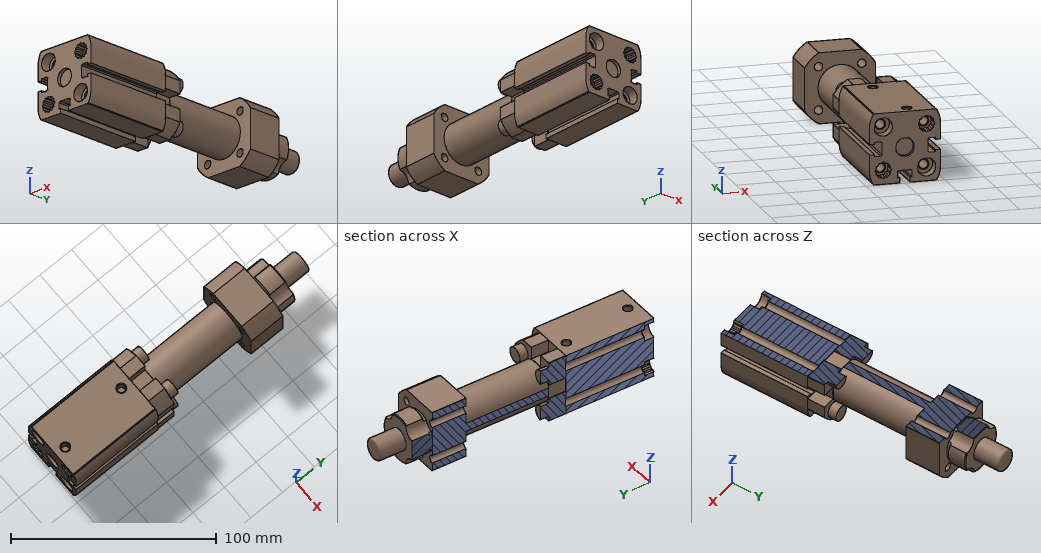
import cadquery as cq
import math

total_length = 158.0
width = 36.0
half_width = width / 2

body_end = 52.0
flange_end = 62.1
screw_head_end = 67.0
block_start = 110.9
block_end = 131.0
nut_end = 143.0

body_flat_half_width = 15.6
body_corner_start = 11.2
body_edge_chamfer_width = 0.5
body_edge_chamfer_height = 0.3
hole_pitch = 22.0
hole_offset = hole_pitch / 2
counterbore_diameter = 9.2
corner_recess_depth = 5.4
star_radius = 4.1
screw_hole_diameter = 4.6
screw_hole_chamfer = 0.4
center_recess_diameter = 9.3
center_recess_depth = 1.9

slot_mouth_width = 5.2
slot_inner_width = 7.3
slot_lip = 2.5
slot_depth = 6.3
slot_corner_chamfer = 0.6

port_places = [(-2.7, 46.0), (2.7, 6.0)]
port_diameter = 4.3
port_chamfer = 0.5
port_depth = 6.0

corner_circle_diameter = 42.0
notch_width = 8.0
notch_floor = 10.7
tube_diameter = 22.5
screw_head_diameter = 8.5
block_hole_diameter = 4.3

rod_diameter = 12.2
rod_tip_fillet = 1.1
nut_diameter = 26.4
nut_chamfer = 0.5
neck_diameter = 23.7
neck_length = 1.9
neck_fillet = 0.8
scallop_offset = 11.5
scallop_radius = 5.7

counterbore_points = [(-hole_offset, hole_offset), (hole_offset, -hole_offset)]
star_points = [(-hole_offset, -hole_offset), (hole_offset, hole_offset)]
corner_points = counterbore_points + star_points


def plane_at(y):
    """Sketch plane across the axis: local x is X, local y is Z, and extrusions run toward +Y."""
    return cq.Workplane(cq.Plane(origin=(0, y, 0), xDir=(1, 0, 0), normal=(0, -1, 0)))


def extrude_along_y(sketch, length):
    """Extrude a sketch from plane_at by a length toward +Y."""
    return sketch.extrude(-length)


def rod_section(diameter, start, end):
    """Round bar on the axis between two Y stations."""
    return extrude_along_y(plane_at(start).circle(diameter / 2), end - start)


def turn(shape, angle):
    """Turn a shape about the Y axis."""
    return shape.rotate((0, 0, 0), (0, 1, 0), angle)


def body_profile():
    """Square bar with flat sides that curve in tangentially toward the top and bottom corners."""
    edge_x = body_flat_half_width + body_edge_chamfer_width
    edge_z = half_width - body_edge_chamfer_height
    rise = edge_z - body_corner_start
    inset = half_width - edge_x
    radius = (inset**2 + rise**2) / (2 * inset)
    half_angle = math.asin(rise / radius) / 2
    mid_x = half_width - radius * (1 - math.cos(half_angle))
    mid_z = body_corner_start + radius * math.sin(half_angle)
    return (
        plane_at(0)
        .moveTo(half_width, -body_corner_start)
        .lineTo(half_width, body_corner_start)
        .threePointArc((mid_x, mid_z), (edge_x, edge_z))
        .lineTo(body_flat_half_width, half_width)
        .lineTo(-body_flat_half_width, half_width)
        .lineTo(-edge_x, edge_z)
        .threePointArc((-mid_x, mid_z), (-half_width, body_corner_start))
        .lineTo(-half_width, -body_corner_start)
        .threePointArc((-mid_x, -mid_z), (-edge_x, -edge_z))
        .lineTo(-body_flat_half_width, -half_width)
        .lineTo(body_flat_half_width, -half_width)
        .lineTo(edge_x, -edge_z)
        .threePointArc((mid_x, -mid_z), (half_width, -body_corner_start))
        .close()
    )


def bottom_slot():
    """T-slot cutter open to the bottom face and running the length of the body."""
    mouth = slot_mouth_width / 2
    inner = slot_inner_width / 2
    lip_z = slot_lip - half_width
    floor_z = slot_depth - half_width
    outline = [
        (mouth, -half_width),
        (mouth, lip_z),
        (inner, lip_z),
        (inner, floor_z - slot_corner_chamfer),
        (inner - slot_corner_chamfer, floor_z),
    ]
    mirrored = [(-x, z) for x, z in reversed(outline)]
    return extrude_along_y(plane_at(0).polyline(outline + mirrored).close(), body_end)


def star_recesses():
    """Twelve-point recesses, each made of two hexagons turned 30 degrees to each other."""
    cutter = cq.Workplane()
    for x, z in star_points:
        for start_angle in (0, 30):
            hexagon = plane_at(0).center(x, z).transformed(rotate=(0, 0, start_angle))
            cutter = cutter.add(extrude_along_y(hexagon.polygon(6, 2 * star_radius), corner_recess_depth))
    return cutter.combine()


def countersunk_hole(sketch_plane, diameter, depth, chamfer):
    """Hole cutter that goes in against the plane normal and widens at its mouth."""
    hole = sketch_plane.circle(diameter / 2).extrude(-depth)
    mouth = sketch_plane.circle(diameter / 2 + chamfer).workplane(offset=-chamfer)
    return hole.union(mouth.circle(diameter / 2).loft(combine=True))


def make_cylinder_body():
    body = extrude_along_y(body_profile(), body_end)
    for angle in (0, 90, -90):
        body = body.cut(turn(bottom_slot(), angle))

    recesses = plane_at(0).pushPoints(counterbore_points).circle(counterbore_diameter / 2)
    body = body.cut(extrude_along_y(recesses, corner_recess_depth))
    body = body.cut(star_recesses())
    for x, z in corner_points:
        body = body.cut(
            countersunk_hole(
                plane_at(corner_recess_depth).center(x, z),
                screw_hole_diameter,
                body_end - corner_recess_depth,
                screw_hole_chamfer,
            )
        )

    body = body.cut(rod_section(center_recess_diameter, 0, center_recess_depth))
    for x, y in port_places:
        top_plane = cq.Workplane("XY", origin=(x, y, half_width))
        body = body.cut(countersunk_hole(top_plane, port_diameter, port_depth, port_chamfer))
    return body


def rounded_square(start, end):
    """Square plate whose corners lie on one circle about the axis."""
    square = extrude_along_y(plane_at(start).rect(width, width), end - start)
    return square.intersect(rod_section(corner_circle_diameter, start, end))


def make_guide():
    flange = rounded_square(body_end, flange_end)
    notch_depth = half_width - notch_floor
    notch = extrude_along_y(
        plane_at(body_end).center(0, notch_floor + notch_depth / 2).rect(notch_width, notch_depth),
        flange_end - body_end,
    )
    for angle in (0, 90, 180, 270):
        flange = flange.cut(turn(notch, angle))

    heads = plane_at(flange_end).pushPoints(corner_points).circle(screw_head_diameter / 2)
    heads = extrude_along_y(heads, screw_head_end - flange_end)

    block = rounded_square(block_start, block_end)
    holes = plane_at(block_start).pushPoints(corner_points).circle(block_hole_diameter / 2)
    block = block.cut(extrude_along_y(holes, block_end - block_start))

    tube = rod_section(tube_diameter, flange_end, block_start)
    return flange.union(tube).union(heads).union(block)


def make_rod():
    neck_end = block_end + neck_length
    head = rod_section(nut_diameter, neck_end, nut_end).faces(">Y").chamfer(nut_chamfer)
    neck = rod_section(neck_diameter, block_end, neck_end)
    nut = head.union(neck)
    inner_corner = cq.selectors.BoxSelector(
        (-neck_diameter, neck_end - neck_fillet / 2, -neck_diameter),
        (neck_diameter, neck_end + neck_fillet / 2, neck_diameter),
    )
    nut = nut.edges(inner_corner).edges(cq.selectors.RadiusNthSelector(0)).fillet(neck_fillet)

    scallops = plane_at(block_end).rect(2 * scallop_offset, 2 * scallop_offset, forConstruction=True)
    scallops = scallops.vertices().circle(scallop_radius)
    nut = nut.cut(extrude_along_y(scallops, nut_end - block_end))

    rod = rod_section(rod_diameter, nut_end, total_length)
    rod = rod.faces(">Y").edges().fillet(rod_tip_fillet)
    return nut.union(rod)


cylinder_body = make_cylinder_body()
guide = make_guide()
rod_with_nut = make_rod()

result = cq.Compound.makeCompound([cylinder_body.val(), guide.val(), rod_with_nut.val()])